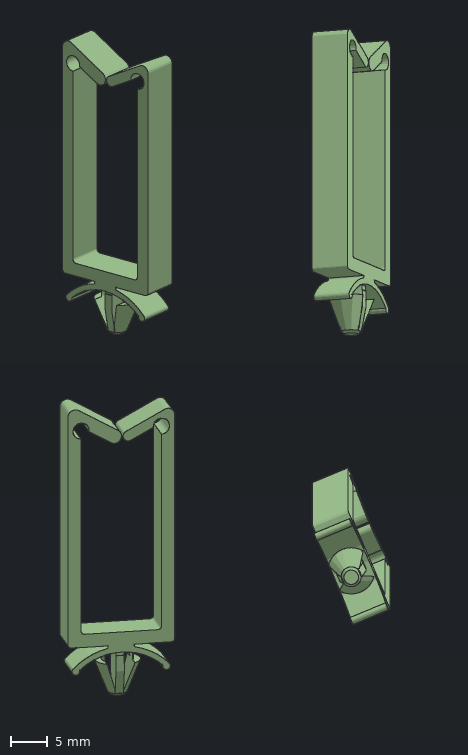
import cadquery as cq
import math

height = 41.75
width = 15.0
depth = 5.3
wall = 1.88
half_width = width / 2
inner_half = half_width - wall

frame_bottom = 7.68
floor_top = frame_bottom + wall
corner_radius = 0.5
hinge_height = 38.65
hinge_radius = 1.13

left_angle = 30.0
left_corner_radius = 1.05
left_tip_radius = 1.0
left_tip_x = 0.95
left_top = height
right_angle = 27.5
right_corner_radius = 0.95
right_tip_radius = 0.75
right_tip_x = 1.0
right_top = 41.15

neck_half = 1.85
neck_fillet = 0.2
spring_top = 6.68
spring_inner_radius = 8.55
spring_outer_radius = 9.4
spring_center_z = spring_top - spring_inner_radius
spring_tip_radius = 0.55
spring_tip_x = 6.35

cone_top = 5.0
cone_top_radius = 3.2
cone_bottom_radius = 1.38
nose_height = 0.38
nose_radius = 1.0
notch_bottom = 0.85
tongue_top = 5.95
tongue_radius = 2.2
tongue_inner = 1.9
tongue_root = 0.4
post_half = 0.6
post_half_depth = 1.9
post_root_half_depth = 1.85
taper_top = 3.67
taper_bottom_half_depth = 1.25


def xz_plane(y):
    """Sketch plane at the given Y; extrusions from it run toward -Y."""
    return cq.Workplane("XZ", origin=(0, y, 0))


def polygon(points):
    return xz_plane(depth / 2).polyline(points).close().extrude(depth)


def disc(x, z, radius):
    return xz_plane(depth / 2).center(x, z).circle(radius).extrude(depth)


def block(x_min, x_max, z_min, z_max):
    return polygon([(x_min, z_min), (x_max, z_min), (x_max, z_max), (x_min, z_max)])


def closing_arm(side, angle, round_radius, tip_radius, tip_x, top):
    """Upper wall end and the arm sloping down from it; side is -1 (left) or 1 (right)."""
    slope = math.radians(angle)
    round_x = half_width - round_radius
    round_z = top - round_radius
    normal_x = -math.sin(slope)
    normal_z = math.cos(slope)

    start_x = round_x + round_radius * normal_x
    start_z = round_z + round_radius * normal_z
    end_x = tip_x + tip_radius * normal_x
    end_z = start_z - (start_x - end_x) * math.tan(slope)
    thickness = 2 * tip_radius
    corners = [
        (start_x, start_z),
        (end_x, end_z),
        (end_x - thickness * normal_x, end_z - thickness * normal_z),
        (start_x - thickness * normal_x, start_z - thickness * normal_z),
    ]
    strip = polygon([(side * x, z) for x, z in corners])
    tip = disc(side * tip_x, end_z - tip_radius * normal_z, tip_radius)
    rounding = disc(side * round_x, round_z, round_radius)
    upper_wall = polygon([
        (side * inner_half, hinge_height),
        (side * half_width, hinge_height),
        (side * half_width, round_z),
        (side * round_x, round_z),
        (side * start_x, start_z),
        (side * inner_half, start_z - (start_x - inner_half) * math.tan(slope)),
    ])
    hinge = disc(side * inner_half, hinge_height, hinge_radius)
    return upper_wall.union(rounding).union(strip).union(tip), hinge


def frame():
    outer = block(-half_width, half_width, frame_bottom, hinge_height)
    outer = outer.edges("|Y and <Z").fillet(corner_radius)
    opening = block(-inner_half, inner_half, floor_top, hinge_height)
    opening = opening.edges("|Y and <Z").fillet(corner_radius)
    body = outer.cut(opening)

    left_arm, left_hinge = closing_arm(
        -1, left_angle, left_corner_radius, left_tip_radius, left_tip_x, left_top
    )
    right_arm, right_hinge = closing_arm(
        1, right_angle, right_corner_radius, right_tip_radius, right_tip_x, right_top
    )
    return body.union(left_arm).union(right_arm).cut(left_hinge).cut(right_hinge)


def spring_foot():
    tip_path_radius = spring_outer_radius - spring_tip_radius
    tip_angle = math.asin(spring_tip_x / tip_path_radius)
    tip_z = spring_center_z + tip_path_radius * math.cos(tip_angle)

    def on_arc(radius, angle):
        return (radius * math.sin(angle), spring_center_z + radius * math.cos(angle))

    foot = (
        xz_plane(depth / 2)
        .moveTo(*on_arc(spring_outer_radius, -tip_angle))
        .threePointArc(on_arc(spring_outer_radius, 0), on_arc(spring_outer_radius, tip_angle))
        .lineTo(*on_arc(spring_inner_radius, tip_angle))
        .threePointArc(on_arc(spring_inner_radius, 0), on_arc(spring_inner_radius, -tip_angle))
        .close()
        .extrude(depth)
    )
    neck_z = spring_center_z + math.sqrt(spring_outer_radius**2 - neck_half**2)
    foot = foot.union(block(-neck_half, neck_half, neck_z, floor_top))
    for side in (-1, 1):
        neck_foot = cq.selectors.NearestToPointSelector((side * neck_half, 0, neck_z))
        foot = foot.edges("|Y").edges(neck_foot).fillet(neck_fillet)
    for side in (-1, 1):
        foot = foot.union(disc(side * spring_tip_x, tip_z, spring_tip_radius))
    return foot


def cone():
    """Blunt-nosed cone whose flank and nose the wings share."""
    return (
        xz_plane(0)
        .lineTo(nose_radius, 0)
        .lineTo(cone_bottom_radius, nose_height)
        .lineTo(cone_top_radius, cone_top)
        .lineTo(0, cone_top)
        .close()
        .revolve(360, (0, 0), (0, 1))
    )


def snap_anchor():
    gap = (
        xz_plane(cone_top_radius)
        .polyline([
            (-post_half, nose_height),
            (post_half, nose_height),
            (post_half, notch_bottom),
            (tongue_inner, cone_top),
            (tongue_inner, tongue_top),
            (-tongue_inner, tongue_top),
            (-tongue_inner, cone_top),
            (-post_half, notch_bottom),
        ])
        .close()
        .extrude(2 * cone_top_radius)
    )
    tongues = (
        cq.Workplane("XY", origin=(0, 0, cone_top - tongue_root))
        .circle(tongue_radius)
        .extrude(tongue_top - cone_top + tongue_root)
    )
    wings = cone().union(tongues).cut(gap)

    post = (
        cq.Workplane("YZ", origin=(-post_half, 0, 0))
        .polyline([
            (-taper_bottom_half_depth, nose_height),
            (taper_bottom_half_depth, nose_height),
            (post_half_depth, taper_top),
            (post_half_depth, tongue_top),
            (post_root_half_depth, tongue_top),
            (post_root_half_depth, frame_bottom),
            (-post_root_half_depth, frame_bottom),
            (-post_root_half_depth, tongue_top),
            (-post_half_depth, tongue_top),
            (-post_half_depth, taper_top),
        ])
        .close()
        .extrude(2 * post_half)
    )
    return wings.union(post)


result = frame().union(spring_foot()).union(snap_anchor())